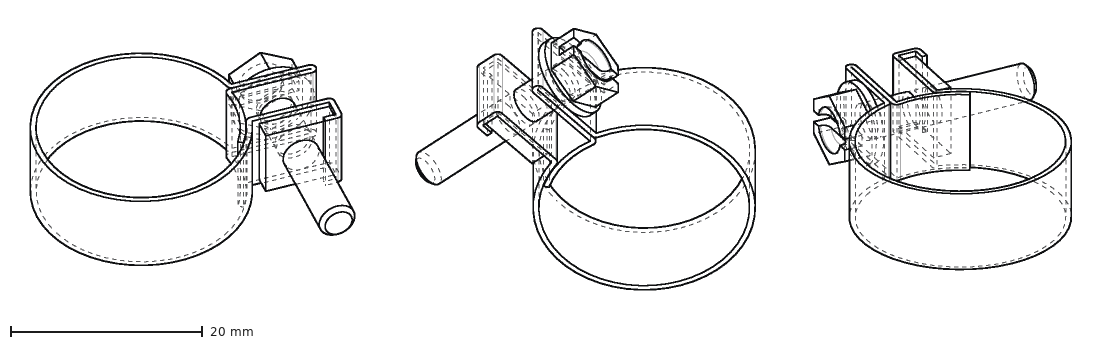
import cadquery as cq
import math


BAND_RADIUS = 11.6
THICKNESS = 0.6
WIDTH = 9.0
INNER_RADIUS = BAND_RADIUS - THICKNESS
LUG_X = 3.1
LUG_NEAR_X = LUG_X - THICKNESS
LUG_TOP = 20.37
HOOK_DEPTH = 1.98

FOLD_GAP = 0.015
TONGUE_CLEARANCE = 0.05
TONGUE_RADIUS = INNER_RADIUS - TONGUE_CLEARANCE
TONGUE_TIP_ANGLE = 57

FLANGE_RADIUS = WIDTH / 2
SCREW_Y = LUG_TOP - FLANGE_RADIUS
FLANGE_THICKNESS = 0.85
HEAD_HEIGHT = 3.17
HEAD_ACROSS_FLATS = 7.05
SLOT_WIDTH = 1.28
SLOT_DEPTH = 2.0
RECESS_RADIUS = 2.5
RECESS_DEPTH = 1.0
RECESS_FILLET = 0.8
SHANK_RADIUS = 1.98
SHANK_END_X = 16.5
TIP_CHAMFER = 0.48
FLANGE_X = -LUG_X - FLANGE_THICKNESS
HEAD_X = FLANGE_X - HEAD_HEIGHT

NUT_THICKNESS = 2.0
NUT_SIDE = 7.8


def polar(radius, angle):
    """Point at a radius from the Z axis, with the angle in radians from +X."""
    return radius * math.cos(angle), radius * math.sin(angle)


def on_circle(radius, x):
    """Upper point of a circle about the Z axis at a given x."""
    return x, math.sqrt(radius**2 - x**2)


def angle_of(point):
    return math.atan2(point[1], point[0])


def x_cylinder(radius, x_start, x_end):
    """Cylinder on the screw axis between two x positions."""
    return cq.Workplane("YZ", origin=(x_start, SCREW_Y, 0)).circle(radius).extrude(x_end - x_start)


def make_band():
    left_root = on_circle(BAND_RADIUS, -LUG_X)
    right_root = on_circle(BAND_RADIUS, LUG_X)
    inner_left = polar(INNER_RADIUS, angle_of(left_root))
    inner_right = polar(INNER_RADIUS, angle_of(right_root))

    second_leaf_x = -LUG_NEAR_X + FOLD_GAP
    tongue_root = on_circle(TONGUE_RADIUS, second_leaf_x + THICKNESS)
    tongue_inner_radius = TONGUE_RADIUS - THICKNESS
    tip_angle = math.radians(TONGUE_TIP_ANGLE)
    tongue_mid_angle = (tip_angle + angle_of(tongue_root)) / 2

    fold_radius = THICKNESS + FOLD_GAP / 2
    fold_y = LUG_TOP - fold_radius
    inner_top = LUG_TOP - THICKNESS

    hook_inner_x = LUG_X + NUT_THICKNESS
    hook_outer_x = hook_inner_x + THICKNESS
    hook_tip_y = LUG_TOP - HOOK_DEPTH

    outline = (
        cq.Workplane("XY", origin=(0, 0, -WIDTH / 2))
        .moveTo(*polar(TONGUE_RADIUS, tip_angle))
        .threePointArc(polar(TONGUE_RADIUS, tongue_mid_angle), tongue_root)
        .lineTo(tongue_root[0], fold_y)
        .threePointArc((tongue_root[0] - fold_radius, LUG_TOP), (-LUG_X, fold_y))
        .lineTo(*left_root)
        .threePointArc((0, -BAND_RADIUS), right_root)
        .lineTo(LUG_X, inner_top)
        .lineTo(hook_inner_x, inner_top)
        .lineTo(hook_inner_x, hook_tip_y)
        .lineTo(hook_outer_x, hook_tip_y)
        .lineTo(hook_outer_x, inner_top)
        .radiusArc((hook_inner_x, LUG_TOP), -THICKNESS)
        .lineTo(LUG_X, LUG_TOP)
        .radiusArc((LUG_NEAR_X, inner_top), -THICKNESS)
        .lineTo(LUG_NEAR_X, right_root[1])
        .radiusArc(inner_right, -THICKNESS)
        .threePointArc((0, -INNER_RADIUS), inner_left)
        .radiusArc((-LUG_NEAR_X, left_root[1]), -THICKNESS)
        .lineTo(-LUG_NEAR_X, inner_top)
        .lineTo(second_leaf_x, inner_top)
        .lineTo(second_leaf_x, tongue_root[1])
        .radiusArc(polar(tongue_inner_radius, angle_of(tongue_root)), -THICKNESS)
        .threePointArc(polar(tongue_inner_radius, tongue_mid_angle), polar(tongue_inner_radius, tip_angle))
        .close()
    )
    screw_hole = x_cylinder(SHANK_RADIUS, -LUG_X, LUG_X)
    return outline.extrude(WIDTH).cut(screw_hole)


def make_screw():
    head = (
        cq.Workplane("YZ", origin=(HEAD_X, SCREW_Y, 0))
        .polygon(6, HEAD_ACROSS_FLATS, circumscribed=True)
        .extrude(HEAD_HEIGHT)
    )
    recess = x_cylinder(RECESS_RADIUS, HEAD_X, HEAD_X + RECESS_DEPTH).faces(">X").edges().fillet(RECESS_FILLET)
    slot = cq.Workplane("XY").box(SLOT_DEPTH, HEAD_ACROSS_FLATS, SLOT_WIDTH, centered=(False, True, True))
    slot = slot.translate((HEAD_X, SCREW_Y, 0))

    flange = x_cylinder(FLANGE_RADIUS, FLANGE_X, -LUG_X)
    shank = x_cylinder(SHANK_RADIUS, -LUG_X, SHANK_END_X).faces(">X").edges().chamfer(TIP_CHAMFER)
    return head.cut(recess).cut(slot).union(flange).union(shank)


def make_nut():
    nut_y = LUG_TOP - THICKNESS - NUT_SIDE / 2
    nut = cq.Workplane("XY").box(NUT_THICKNESS, NUT_SIDE, NUT_SIDE, centered=(False, True, True))
    nut = nut.translate((LUG_X, nut_y, 0))
    return nut.cut(x_cylinder(SHANK_RADIUS, LUG_X, LUG_X + NUT_THICKNESS))


band = make_band()
screw = make_screw()
nut = make_nut()

result = cq.Compound.makeCompound([band.solids().val(), screw.solids().val(), nut.solids().val()])